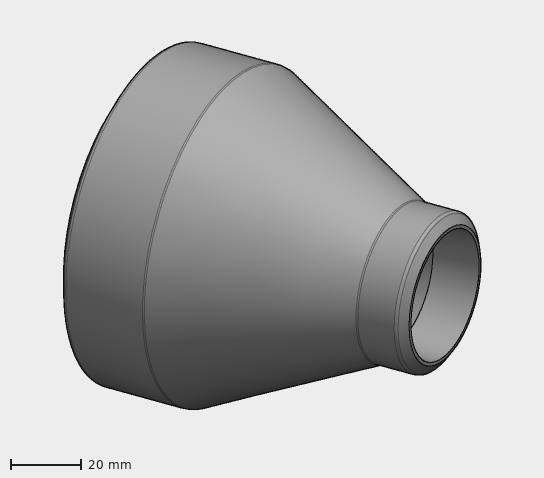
import cadquery as cq

total_length = 100.0
large_bevel_length = 4.0
large_collar_length = 30.1
small_collar_length = 15.1
large_bore_length = 17.5
small_bevel_length = 2.3

large_outer_diameter = 101.6
large_bore_diameter = 84.0
large_face_diameter = 87.7
small_outer_diameter = 48.3
small_bore_diameter = 39.3
small_face_diameter = 41.5

mouth_chamfer = 0.2

edge_radius = 1.2

small_collar_start = total_length - small_collar_length


def revolve_about_x(profile):
    """Turn a list of (x, diameter) stations into a solid of revolution."""
    outline = [(x, diameter / 2) for x, diameter in profile]
    first_x = profile[0][0]
    last_x = profile[-1][0]
    points = [(first_x, 0)] + outline + [(last_x, 0)]
    return cq.Workplane("XY").polyline(points).close().revolve(360, (0, 0, 0), (1, 0, 0))


body = revolve_about_x([
    (0, large_face_diameter),
    (large_bevel_length, large_outer_diameter),
    (large_collar_length, large_outer_diameter),
    (small_collar_start, small_outer_diameter),
    (total_length - small_bevel_length, small_outer_diameter),
    (total_length, small_face_diameter),
])

middle_edges = cq.selectors.BoxSelector(
    (large_bevel_length / 2, -large_outer_diameter, -large_outer_diameter),
    (total_length - small_bevel_length / 2, large_outer_diameter, large_outer_diameter),
)
body = body.edges("%CIRCLE").edges(middle_edges).fillet(edge_radius)

bore = revolve_about_x([
    (0, large_bore_diameter + 2 * mouth_chamfer),
    (mouth_chamfer, large_bore_diameter),
    (large_bore_length, large_bore_diameter),
    (small_collar_start, small_bore_diameter),
    (total_length, small_bore_diameter),
])

result = body.cut(bore)